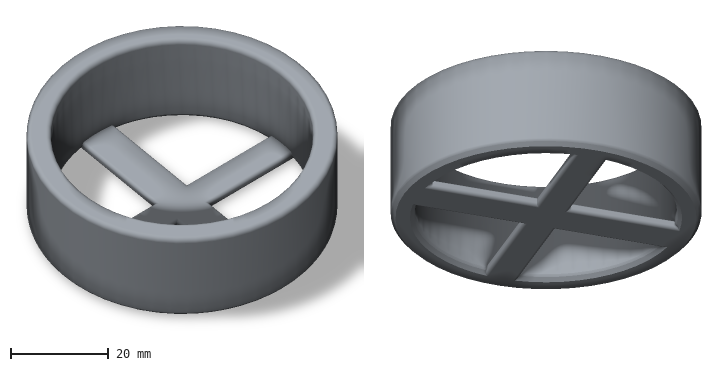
import cadquery as cq

outer_diameter = 63.5
bore_diameter = 53.5
height = 22.0
rim_fillet = 1.0
bottom_chamfer = 1.0
chamfer_blend = 0.75

x_spoke_width = 8.5
y_spoke_width = 7.0
spoke_thickness = 2.05
spoke_fillet = 0.7


def make_ring():
    """Tube with a rounded top rim and chamfered bottom edges blended into the walls."""
    tube = (
        cq.Workplane("XY")
        .circle(outer_diameter / 2)
        .circle(bore_diameter / 2)
        .extrude(height)
    )
    tube = tube.faces(">Z").edges().fillet(rim_fillet)
    tube = tube.faces("<Z").edges().chamfer(bottom_chamfer)
    half_size = outer_diameter / 2
    tolerance = 0.005
    wall_edges = cq.selectors.BoxSelector(
        (-half_size, -half_size, bottom_chamfer - tolerance),
        (half_size, half_size, bottom_chamfer + tolerance),
    )
    return tube.edges(wall_edges).fillet(chamfer_blend)


def make_cross():
    """Two crossing bars with rounded edges, ending inside the ring wall."""
    end_diameter = (outer_diameter + bore_diameter) / 2
    bar_length = end_diameter + 2 * spoke_fillet
    x_bar = cq.Workplane("XY").rect(bar_length, x_spoke_width).extrude(spoke_thickness)
    y_bar = cq.Workplane("XY").rect(y_spoke_width, bar_length).extrude(spoke_thickness)
    cross = x_bar.union(y_bar).faces("|Z").edges().fillet(spoke_fillet)
    end_disc = cq.Workplane("XY").circle(end_diameter / 2).extrude(spoke_thickness)
    return cross.intersect(end_disc)


result = make_ring().union(make_cross())